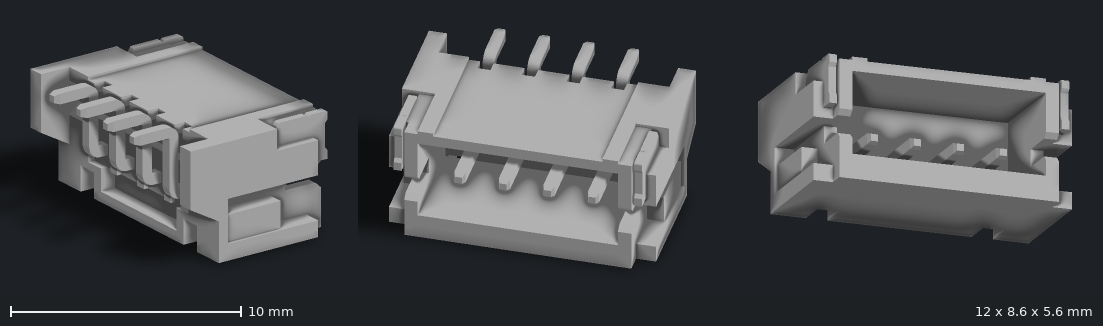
import cadquery as cq
import math


body_width = 12.0
body_height = 5.55
wall_front_y = 1.5
rear_y = 7.6
half_width = body_width / 2
side_step = 0.9
core_half_width = half_width - side_step
corner_y = 6.8

arm_width = 0.8
arm_inner_x = half_width - arm_width
arm_tip_z = 2.81
arm_root_z = 1.95

top_recess_half_width = 3.8
top_recess_z = 5.4

undercut_y = 2.03
slab_underside_z = 4.93
slope_top_z = 3.83
slope_foot_z = 3.32
panel_y = 1.6
pin_pocket_y = 1.82
pin_pocket_width = 1.5
pin_pocket_floor_z = 1.57
notch_width = 0.6
window_width = 5.68
window_floor_z = 0.49
window_y = 2.25
foot_slot_width = 1.0
foot_slot_x = 3.85
foot_slot_top_z = 1.22

cavity_front_y = 2.9
cavity_half_width = 4.5
cavity_floor_z = 1.13
cavity_roof_z = 4.9

side_slot_floor_z = 2.08
side_slot_roof_z = 2.89
side_slot_y = 5.68
side_recess_y = 2.0
side_ledge_z = 0.78
side_block_y = 4.9
side_block_floor_z = 0.82
side_block_inset = 0.15
entry_chamfer = 0.24

tab_seat_y = 4.6
tab_seat_z = 4.53
tab_relief_x = 4.5
tab_relief_z = top_recess_z
tab_thickness = 0.35
tab_outer_x = 5.575
tab_inner_x = tab_outer_x - tab_thickness
tab_front_y = 4.71
tab_bottom_z = 3.34
tab_top_chamfer_y = 0.32
tab_top_chamfer_z = 0.48
tab_edge_radius = 0.12
tab_notch_y = 6.58
tab_notch_depth = 0.11
tab_rear_recess = 0.13
tab_rear_recess_bottom = 3.74
tab_rear_recess_top = 5.2
tab_rear_recess_slope = 0.17

pin_count = 4
pin_pitch = 2.0
pin_size = 0.5
pin_top_z = 5.6
pin_front_y = -1.0
pin_leg_rear_y = 1.32
pin_bottom_z = 2.15
pin_tail_y = 6.34
pin_bend_radius = 0.59
pin_taper_length = 0.28
pin_tip_size = 0.32

pin_positions = [(i - (pin_count - 1) / 2) * pin_pitch for i in range(pin_count)]
outer_pin_x = pin_positions[-1]
margin = 1.0


def block(x_range, y_range, z_range):
    """Axis-aligned box given by its limits."""
    size = [high - low for low, high in (x_range, y_range, z_range)]
    corner = (x_range[0], y_range[0], z_range[0])
    return cq.Workplane("XY").box(*size, centered=False).translate(corner)


def side_profile(points, x_start, x_end):
    """Closed (y, z) outline extruded along X."""
    outline = cq.Workplane("YZ", origin=(x_start, 0, 0)).polyline(points).close()
    return outline.extrude(x_end - x_start)


def both_sides(shape):
    """The shape together with its mirror image in the plane X = 0."""
    return shape.union(shape.mirror("YZ"))


def make_body():
    """Outer block with arms, narrowed at the rear corners."""
    body = side_profile(
        [
            (0, arm_tip_z),
            (wall_front_y, arm_root_z),
            (wall_front_y, 0),
            (rear_y, 0),
            (rear_y, body_height),
            (0, body_height),
        ],
        -half_width,
        half_width,
    )
    body = body.cut(block((-arm_inner_x, arm_inner_x), (-margin, wall_front_y), (0, body_height)))
    corner = block(
        (core_half_width, half_width + margin),
        (corner_y, rear_y + margin),
        (-margin, body_height + margin),
    )
    return body.cut(both_sides(corner))


def top_recess_cut():
    return block(
        (-top_recess_half_width, top_recess_half_width),
        (0, rear_y + margin),
        (top_recess_z, body_height + margin),
    )


def cavity_cut():
    return block(
        (-cavity_half_width, cavity_half_width),
        (cavity_front_y, rear_y + margin),
        (cavity_floor_z, cavity_roof_z),
    )


def front_undercut():
    """Space below the top slab, closed underneath by a sloping face."""
    return side_profile(
        [
            (wall_front_y, slope_foot_z),
            (undercut_y, slope_top_z),
            (undercut_y, slab_underside_z),
            (wall_front_y - margin, slab_underside_z),
            (wall_front_y - margin, slope_foot_z),
        ],
        -arm_inner_x,
        arm_inner_x,
    )


def front_wall_cuts():
    """Pin pockets, notches in the slab, the panel, the window and the foot slots."""
    front = wall_front_y - margin
    cuts = block((-outer_pin_x, outer_pin_x), (front, panel_y), (pin_pocket_floor_z, slope_top_z))
    for x in pin_positions:
        half_pocket = pin_pocket_width / 2
        half_notch = notch_width / 2
        pocket = block(
            (x - half_pocket, x + half_pocket),
            (front, pin_pocket_y),
            (pin_pocket_floor_z, slope_top_z),
        )
        notch = block(
            (x - half_notch, x + half_notch),
            (front, undercut_y),
            (slope_top_z, body_height),
        )
        cuts = cuts.union(pocket).union(notch)
    window = block(
        (-window_width / 2, window_width / 2),
        (front, window_y),
        (window_floor_z, pin_pocket_floor_z),
    )
    foot_slot = block(
        (foot_slot_x - foot_slot_width / 2, foot_slot_x + foot_slot_width / 2),
        (front, cavity_front_y),
        (-margin, foot_slot_top_z),
    )
    return cuts.union(window).union(both_sides(foot_slot))


def side_cuts():
    """Rear-open slot through both side walls, and the stepped recess around it."""
    slot = side_profile(
        [
            (side_slot_y, side_slot_floor_z),
            (rear_y - entry_chamfer, side_slot_floor_z),
            (rear_y, side_slot_floor_z - entry_chamfer),
            (rear_y, side_slot_roof_z + entry_chamfer),
            (rear_y - entry_chamfer, side_slot_roof_z),
            (side_slot_y, side_slot_roof_z),
        ],
        -half_width,
        half_width,
    )
    recess = block(
        (core_half_width, half_width + margin),
        (side_recess_y, rear_y),
        (side_ledge_z, side_slot_roof_z),
    )
    side_block = block(
        (core_half_width, half_width - side_block_inset),
        (side_recess_y, side_block_y),
        (side_block_floor_z, side_slot_floor_z),
    )
    return slot.union(both_sides(recess.cut(side_block)))


def tab_seat_cuts():
    """Deep seat beside each tab and the shallow relief next to it."""
    y_range = (tab_seat_y, rear_y + margin)
    seat = block((tab_inner_x, half_width), y_range, (tab_seat_z, body_height + margin))
    relief = block((tab_relief_x, half_width), y_range, (tab_relief_z, body_height + margin))
    return both_sides(seat.union(relief))


def make_tabs():
    """L-shaped solder tab plates standing on the seats."""
    recess_y = rear_y - tab_rear_recess
    outline = [
        (tab_front_y, tab_seat_z),
        (corner_y, tab_seat_z),
        (corner_y, tab_bottom_z),
        (rear_y, tab_bottom_z),
        (rear_y, tab_rear_recess_bottom),
        (recess_y, tab_rear_recess_bottom + tab_rear_recess_slope),
        (recess_y, tab_rear_recess_top - tab_rear_recess_slope),
        (rear_y, tab_rear_recess_top),
        (rear_y, pin_top_z),
        (tab_notch_y + tab_notch_depth, pin_top_z),
        (tab_notch_y, pin_top_z - tab_notch_depth),
        (tab_notch_y - tab_notch_depth, pin_top_z),
        (tab_front_y + tab_top_chamfer_y, pin_top_z),
        (tab_front_y, pin_top_z - tab_top_chamfer_z),
    ]
    tab = side_profile(outline, tab_inner_x, tab_outer_x)
    top_edges = cq.selectors.BoxSelector(
        (tab_inner_x, tab_front_y, pin_top_z - tab_edge_radius / 2),
        (tab_outer_x, rear_y + margin, pin_top_z + margin),
    )
    tab = tab.edges("|X").edges(top_edges).fillet(tab_edge_radius)
    return both_sides(tab)


def pin_tip(x, base_y, z, direction):
    """Tapered end of a pin, growing from base_y along +Y or -Y."""
    base = cq.Plane(origin=(x, base_y, z), xDir=(1, 0, 0), normal=(0, direction, 0))
    tip = cq.Workplane(base).rect(pin_size, pin_size).workplane(offset=pin_taper_length)
    return tip.rect(pin_tip_size, pin_tip_size).loft(combine=True)


def make_pin(x):
    """Square wire: lead to the front, leg down, contact to the rear."""
    lead_y = pin_front_y + pin_taper_length
    contact_y = pin_tail_y - pin_taper_length
    leg_front_y = pin_leg_rear_y - pin_size
    lead_bottom_z = pin_top_z - pin_size
    contact_top_z = pin_bottom_z + pin_size
    upper_centre = (pin_leg_rear_y - pin_bend_radius, pin_top_z - pin_bend_radius)
    lower_centre = (leg_front_y + pin_bend_radius, pin_bottom_z + pin_bend_radius)
    arc_reach = pin_bend_radius * math.sin(math.radians(45))
    upper_arc_middle = (upper_centre[0] + arc_reach, upper_centre[1] + arc_reach)
    lower_arc_middle = (lower_centre[0] - arc_reach, lower_centre[1] - arc_reach)
    outline = (
        cq.Workplane("YZ", origin=(x - pin_size / 2, 0, 0))
        .moveTo(lead_y, pin_top_z)
        .lineTo(upper_centre[0], pin_top_z)
        .threePointArc(upper_arc_middle, (pin_leg_rear_y, upper_centre[1]))
        .lineTo(pin_leg_rear_y, contact_top_z)
        .lineTo(contact_y, contact_top_z)
        .lineTo(contact_y, pin_bottom_z)
        .lineTo(lower_centre[0], pin_bottom_z)
        .threePointArc(lower_arc_middle, (leg_front_y, lower_centre[1]))
        .lineTo(leg_front_y, lead_bottom_z)
        .lineTo(lead_y, lead_bottom_z)
        .close()
    )
    wire = outline.extrude(pin_size)
    lead_tip = pin_tip(x, lead_y, pin_top_z - pin_size / 2, -1)
    contact_tip = pin_tip(x, contact_y, pin_bottom_z + pin_size / 2, 1)
    return wire.union(lead_tip).union(contact_tip)


housing = make_body()
housing = housing.cut(top_recess_cut())
housing = housing.cut(cavity_cut())
housing = housing.cut(front_undercut())
housing = housing.cut(front_wall_cuts())
housing = housing.cut(side_cuts())
housing = housing.cut(tab_seat_cuts())

result = housing.union(make_tabs())
for pin_x in pin_positions:
    result = result.union(make_pin(pin_x))